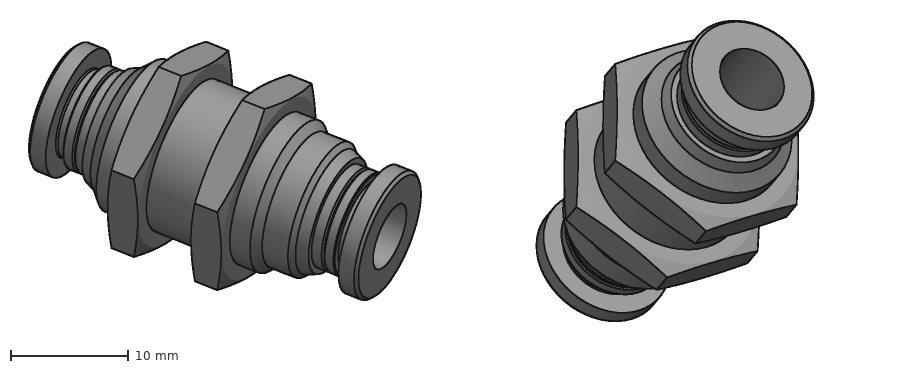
import cadquery as cq
import math

length = 32.0
bore_diameter = 6.0

flange_radius = 5.92
flange_width = 1.8
flange_chamfer = 0.3
neck_radius = 4.05
neck_flare_width = 0.2
neck_flare_height = 0.05
neck_end = 2.8
sleeve_radius = 4.77
sleeve_chamfer = 0.1
groove_start = 3.75
groove_width = 0.32
groove_depth = 0.15

shoulder_start = 5.02
shoulder_radius = 5.3
shoulder_end = 6.05
shoulder_end_radius = 5.75

body_radius = 7.0
body_start_x = 7.3
body_end_x = 22.2
step_radius = 6.25
step_start_x = 22.98
step_end_x = 25.47

nut_across_flats = 17.0
nut_width = 3.0
nut_face_radius = 8.4
nut_chamfer_depth = 0.4
nut_starts = (9.15, 17.25)

nut_corner_radius = nut_across_flats / math.sqrt(3)


def revolve_about_x(points):
    """Revolve an (x, radius) outline around the X axis."""
    return cq.Workplane("XY").polyline(points).close().revolve(360, (0, 0, 0), (1, 0, 0))


def end_outline():
    """Outline from an end face to the shoulder, as (distance from the end, radius)."""
    return [
        (0, 0),
        (0, flange_radius - flange_chamfer),
        (flange_chamfer, flange_radius),
        (flange_width, flange_radius),
        (flange_width, neck_radius + neck_flare_height),
        (flange_width + neck_flare_width, neck_radius),
        (neck_end, neck_radius),
        (neck_end, sleeve_radius - sleeve_chamfer),
        (neck_end + sleeve_chamfer, sleeve_radius),
        (groove_start, sleeve_radius),
        (groove_start + groove_width / 2, sleeve_radius - groove_depth),
        (groove_start + groove_width, sleeve_radius),
        (shoulder_start, sleeve_radius),
        (shoulder_start, shoulder_radius),
        (shoulder_end, shoulder_end_radius),
    ]


def make_body():
    left_end = end_outline()
    right_end = [(length - distance, radius) for distance, radius in reversed(left_end)]
    middle = [
        (body_start_x, body_radius),
        (body_end_x, body_radius),
        (step_start_x, step_radius),
        (step_end_x, step_radius),
    ]
    return revolve_about_x(left_end + middle + right_end)


def make_nut(start_x):
    """Hexagonal nut with corners on +Z and -Z, and both faces chamfered by a cone."""
    hexagon = (
        cq.Workplane("YZ", origin=(start_x, 0, 0))
        .polygon(6, 2 * nut_corner_radius)
        .extrude(nut_width)
        .rotate((0, 0, 0), (1, 0, 0), 90)
    )
    end_x = start_x + nut_width
    chamfered_disc = revolve_about_x([
        (start_x, 0),
        (start_x, nut_face_radius),
        (start_x + nut_chamfer_depth, nut_corner_radius),
        (end_x - nut_chamfer_depth, nut_corner_radius),
        (end_x, nut_face_radius),
        (end_x, 0),
    ])
    return hexagon.intersect(chamfered_disc)


result = make_body()
for nut_start in nut_starts:
    result = result.union(make_nut(nut_start))

bore = cq.Workplane("YZ").circle(bore_diameter / 2).extrude(length)
result = result.cut(bore)